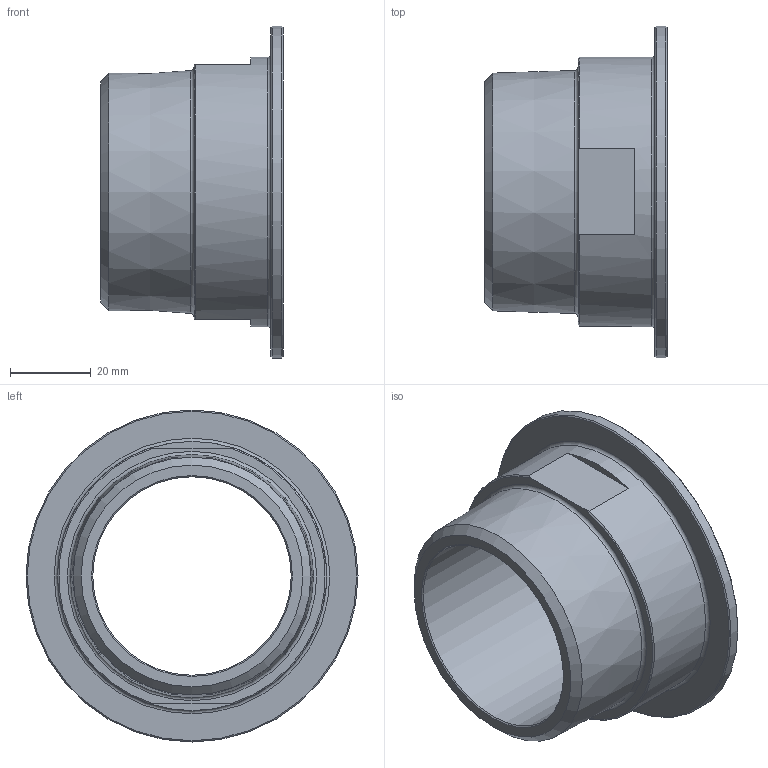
import cadquery as cq
import math

total_length = 45.0
flange_thickness = 3.0
flange_x = total_length - flange_thickness
shoulder_x = 23.0
flat_end_x = 37.0

bore_radius = 49.0 / 2
barrel_radius = 66.5 / 2
flange_radius = 82.0 / 2

gauge_radius = 59.6 / 2
gauge_x = 15.9
radius_taper = 1 / 32

tip_chamfer = 2.0
edge_chamfer = 0.3
root_radius = 0.8

flat_height = 31.5


def spigot_radius(x):
    """Outer radius of the tapered spigot at position x."""
    return gauge_radius + (x - gauge_x) * radius_taper


def root_arc(profile, x_end, radius):
    """Add a quarter-round root blend rising from a cylinder to a face at x_end."""
    arc_offset = root_radius * (1 - math.sin(math.pi / 4))
    middle = (x_end - arc_offset, radius + arc_offset)
    return profile.threePointArc(middle, (x_end, radius + root_radius))


def revolved_body():
    """Hollow turned body: spigot, barrel and flange around the X axis."""
    spigot_end_x = shoulder_x - root_radius
    spigot_end_radius = spigot_radius(spigot_end_x)
    tip_radius = spigot_radius(tip_chamfer) - tip_chamfer

    profile = (
        cq.Workplane("XY")
        .moveTo(edge_chamfer, bore_radius)
        .lineTo(0, bore_radius + edge_chamfer)
        .lineTo(0, tip_radius)
        .lineTo(tip_chamfer, spigot_radius(tip_chamfer))
        .lineTo(spigot_end_x, spigot_end_radius)
    )
    profile = root_arc(profile, shoulder_x, spigot_end_radius)
    profile = (
        profile.lineTo(shoulder_x, barrel_radius - edge_chamfer)
        .lineTo(shoulder_x + edge_chamfer, barrel_radius)
        .lineTo(flange_x - root_radius, barrel_radius)
    )
    profile = root_arc(profile, flange_x, barrel_radius)
    profile = (
        profile.lineTo(flange_x, flange_radius - edge_chamfer)
        .lineTo(flange_x + edge_chamfer, flange_radius)
        .lineTo(total_length - edge_chamfer, flange_radius)
        .lineTo(total_length, flange_radius - edge_chamfer)
        .lineTo(total_length, bore_radius + edge_chamfer)
        .lineTo(total_length - edge_chamfer, bore_radius)
        .close()
    )
    return profile.revolve(360, (0, 0, 0), (1, 0, 0))


def flat_cutter(side):
    """Block that removes the barrel outside one flat; side is +1 or -1 along Z."""
    block_depth = flange_radius - flat_height
    center_x = (shoulder_x + flat_end_x) / 2
    center_z = side * (flat_height + block_depth / 2)
    block = cq.Workplane("XY").box(flat_end_x - shoulder_x, 2 * flange_radius, block_depth)
    return block.translate((center_x, 0, center_z))


result = revolved_body()
for side in (1, -1):
    result = result.cut(flat_cutter(side))